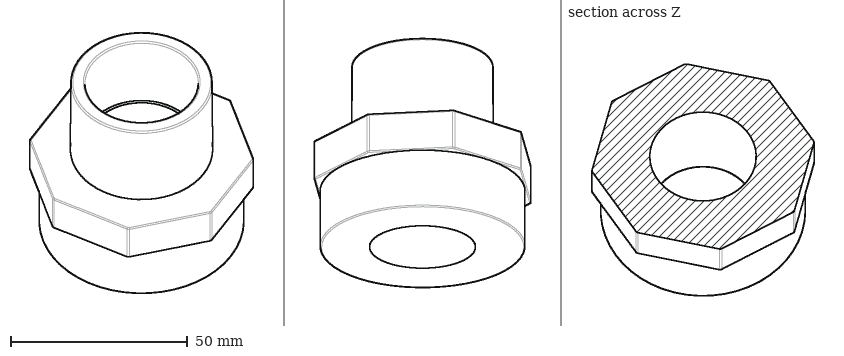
import cadquery as cq
import math

collar_sides = 8
across_flats = 59.0
collar_bottom = 17.2
collar_top = 28.9
collar_corner_radius = 0.95
collar_rim_radius = 0.35

barrel_diameter = 58.0
barrel_edge_radius = 0.35

total_height = 55.8
spigot_base_diameter = 40.3
spigot_top_diameter = 40.0
spigot_edge_radius = 0.5

bore_diameter = 30.0
socket_mouth_diameter = 32.1
socket_bottom_diameter = 31.75
socket_depth = 23.3
socket_mouth_radius = 0.5


def cone(bottom_diameter, top_diameter, bottom, top):
    """Upright truncated cone on the part axis."""
    height = top - bottom
    solid = cq.Solid.makeCone(bottom_diameter / 2, top_diameter / 2, height, cq.Vector(0, 0, bottom))
    return cq.Workplane(obj=solid)


def make_collar():
    """Octagon with flats square to X and Y, and rounded edges."""
    across_corners = across_flats / math.cos(math.pi / collar_sides)
    octagon = (
        cq.Workplane("XY")
        .workplane(offset=collar_bottom)
        .polygon(collar_sides, across_corners)
        .extrude(collar_top - collar_bottom)
        .rotate((0, 0, 0), (0, 0, 1), 180 / collar_sides)
    )
    rounded = octagon.edges("|Z").fillet(collar_corner_radius)
    return rounded.faces("<Z or >Z").edges().fillet(collar_rim_radius)


def make_barrel():
    """Lower barrel, ending against the collar, with a rounded bottom edge."""
    barrel = cq.Workplane("XY").circle(barrel_diameter / 2).extrude(collar_bottom)
    return barrel.faces("<Z").edges().fillet(barrel_edge_radius)


def make_spigot():
    """Upper pipe end with a rounded rim."""
    spigot = cone(spigot_base_diameter, spigot_top_diameter, collar_top, total_height)
    return spigot.faces(">Z").edges().fillet(spigot_edge_radius)


def round_socket_mouth(part):
    """Round the inner edge of the rim."""
    inner_edge = cq.selectors.RadiusNthSelector(0)
    return part.faces(">Z").edges(inner_edge).fillet(socket_mouth_radius)


body = make_barrel().union(make_collar()).union(make_spigot())
socket = cone(socket_bottom_diameter, socket_mouth_diameter, total_height - socket_depth, total_height)
bore = cq.Workplane("XY").circle(bore_diameter / 2).extrude(total_height)
result = round_socket_mouth(body.cut(bore).cut(socket))